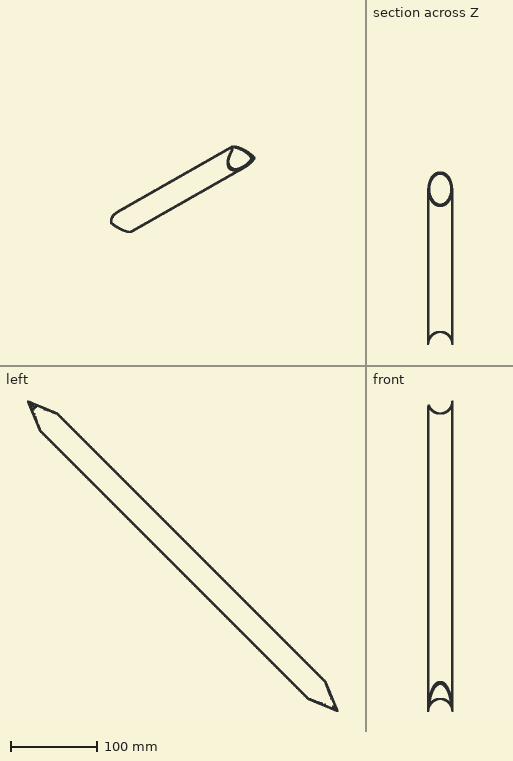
import cadquery as cq
import math

SPAN = 360.0
OUTER_DIAMETER = 28.0
WALL = 1.5
TUBE_TILT = 45.0
BLUNT_DEPTH = 10.8

outer_radius = OUTER_DIAMETER / 2
inner_radius = outer_radius - WALL
tube_length = SPAN / math.cos(math.radians(TUBE_TILT))
half_length = tube_length / 2
cope_reach = 6 * OUTER_DIAMETER


def make_tube():
    """Straight round tube along Z, centred on the origin."""
    return (
        cq.Workplane("XY", origin=(0, 0, -half_length))
        .circle(outer_radius)
        .circle(inner_radius)
        .extrude(tube_length)
    )


def make_coping_cylinder(end, tilt):
    """Cylinder of the tube's own diameter, crossing its axis at one tip (end = 1 or -1)."""
    return (
        cq.Workplane("XY")
        .circle(outer_radius)
        .extrude(cope_reach / 2, both=True)
        .rotate((0, 0, 0), (1, 0, 0), tilt)
        .translate((0, 0, end * half_length))
    )


def make_tip_cutter():
    """Block squaring off the upper tip on the -X side only."""
    return cq.Workplane("XY", origin=(-outer_radius / 2, 0, half_length - BLUNT_DEPTH)).box(
        outer_radius, OUTER_DIAMETER, BLUNT_DEPTH, centered=(True, True, False)
    )


tube = make_tube().cut(make_tip_cutter())

for end in (1, -1):
    for tilt in (TUBE_TILT, -TUBE_TILT):
        tube = tube.cut(make_coping_cylinder(end, tilt))

main_body = max(tube.solids().vals(), key=lambda solid: solid.Volume())
result = cq.Workplane(main_body).rotate((0, 0, 0), (1, 0, 0), -TUBE_TILT)